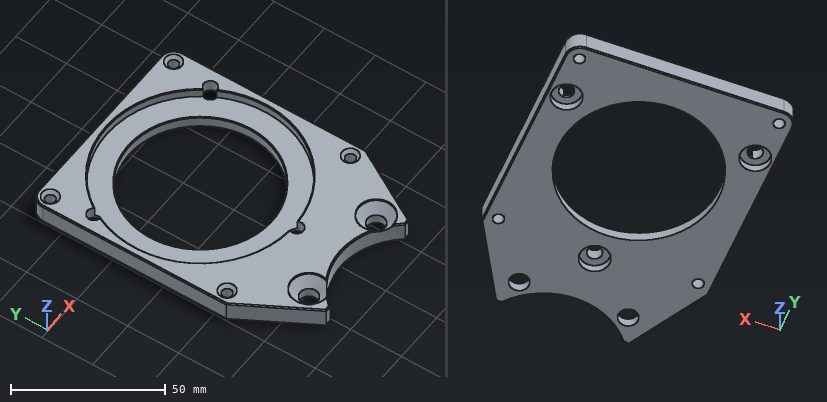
import cadquery as cq
import math

WIDTH = 79.4
LENGTH = 105.7
THICKNESS = 7.9
HALF_WIDTH = WIDTH / 2
TOP_Y = HALF_WIDTH
BOTTOM_Y = TOP_Y - LENGTH
TAPER_START_Y = -37.8
TIP_OUTER_X = 23.5
CORNER_RADIUS = 5.2
EDGE_CHAMFER = 0.4

SCALLOP_RADIUS = 26.8
SCALLOP_TOP_Y = -55.7

BORE_DIAMETER = 55.9
RECESS_DIAMETER = 73.5
RECESS_DEPTH = 3.5
RIM_CHAMFER = 0.3

RIM_HOLE_DIAMETER = 5.1
RIM_COUNTERBORE_DIAMETER = 10.5
RIM_COUNTERBORE_DEPTH = 3.2
RIM_HOLE_CIRCLE_RADIUS = 38.0
RIM_HOLE_ANGLES = (30, 150, 270)

CORNER_HOLE_OFFSET = 34.9
CORNER_HOLE_DIAMETER = 3.8
CORNER_SINK_DIAMETER = 6.3

MOUNT_HOLE_X = 19.0
MOUNT_HOLE_Y = -56.1
MOUNT_HOLE_DIAMETER = 6.8
MOUNT_SINK_DIAMETER = 13.5
MOUNT_SINK_LIP = 0.6
SINK_ANGLE = 90


def make_plate():
    """Tapered plate with a scalloped end and chamfered outer edges."""
    outline = [
        (-HALF_WIDTH, TOP_Y),
        (HALF_WIDTH, TOP_Y),
        (HALF_WIDTH, TAPER_START_Y),
        (TIP_OUTER_X, BOTTOM_Y),
        (-TIP_OUTER_X, BOTTOM_Y),
        (-HALF_WIDTH, TAPER_START_Y),
    ]
    plate = cq.Workplane("XY").polyline(outline).close().extrude(THICKNESS)
    plate = plate.edges("|Z and >Y").fillet(CORNER_RADIUS)
    scallop = (
        cq.Workplane("XY")
        .center(0, SCALLOP_TOP_Y - SCALLOP_RADIUS)
        .circle(SCALLOP_RADIUS)
        .extrude(THICKNESS)
    )
    return plate.cut(scallop).faces("<Z or >Z").edges().chamfer(EDGE_CHAMFER)


def chamfered_bore(diameter, bottom_z, top_z):
    """Cutter for a round opening on the bore axis, widened at its top rim."""
    radius = diameter / 2
    profile = [
        (0, bottom_z),
        (radius, bottom_z),
        (radius, top_z - RIM_CHAMFER),
        (radius + RIM_CHAMFER, top_z),
        (0, top_z),
    ]
    return cq.Workplane("XZ").polyline(profile).close().revolve(360, (0, 0), (0, 1))


def drill_countersunk(body, points, diameter, sink_diameter, lip_depth=0):
    """Through holes with a countersink, set below the top face by a straight-walled lip."""
    sink_z = THICKNESS - lip_depth
    sink_plane = cq.Workplane("XY", origin=(0, 0, sink_z))
    if lip_depth > 0:
        lips = sink_plane.pushPoints(points).circle(sink_diameter / 2).extrude(lip_depth)
        body = body.cut(lips)
    return body.copyWorkplane(sink_plane).pushPoints(points).cskHole(diameter, sink_diameter, SINK_ANGLE)


recess_floor_z = THICKNESS - RECESS_DEPTH
result = make_plate()
result = result.cut(chamfered_bore(BORE_DIAMETER, 0, recess_floor_z))
result = result.cut(chamfered_bore(RECESS_DIAMETER, recess_floor_z, THICKNESS))

rim_points = [
    (
        RIM_HOLE_CIRCLE_RADIUS * math.cos(math.radians(angle)),
        RIM_HOLE_CIRCLE_RADIUS * math.sin(math.radians(angle)),
    )
    for angle in RIM_HOLE_ANGLES
]
rim_pattern = cq.Workplane("XY").pushPoints(rim_points)
rim_holes = rim_pattern.circle(RIM_HOLE_DIAMETER / 2).extrude(THICKNESS)
rim_counterbores = rim_pattern.circle(RIM_COUNTERBORE_DIAMETER / 2).extrude(RIM_COUNTERBORE_DEPTH)
result = result.cut(rim_holes).cut(rim_counterbores)

corner_points = [
    (x, y)
    for x in (-CORNER_HOLE_OFFSET, CORNER_HOLE_OFFSET)
    for y in (-CORNER_HOLE_OFFSET, CORNER_HOLE_OFFSET)
]
result = drill_countersunk(result, corner_points, CORNER_HOLE_DIAMETER, CORNER_SINK_DIAMETER)

mount_points = [(-MOUNT_HOLE_X, MOUNT_HOLE_Y), (MOUNT_HOLE_X, MOUNT_HOLE_Y)]
result = drill_countersunk(result, mount_points, MOUNT_HOLE_DIAMETER, MOUNT_SINK_DIAMETER, MOUNT_SINK_LIP)